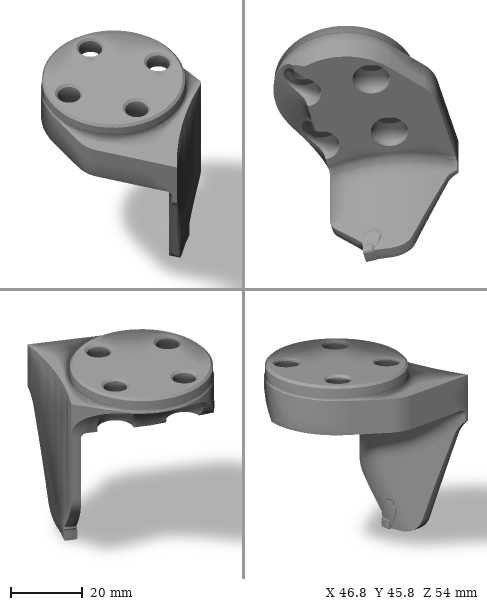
import cadquery as cq
import math

overall_height = 54.0
plate_top = -4.45
plate_bottom = -14.4
blade_bottom = -53.55

disc_radius = 40.0 / 2
disc_chamfer = 0.7
cove_radius = 0.8
hole_diameter = 6.5
hole_chamfer = 0.7
countersink_angle = 90
hole_spacing = 19.8
counterbore_diameter = 10.5
counterbore_z = -4.8

plate_radius = 20.3
front_y = -25.5
front_corner_x = 26.5
rear_corner = (22.6, 10.15)
outer_arc_middle = (22.15, 1.1)
front_left_fillet = 9.9
rear_corner_fillet = 1.2
tangent_angle = math.radians(232.3)

inner_arc_vertex = (18.75, -0.55)
inner_arc_radius = 50.2
inner_arc_half_length = 32.4
root_fillet = 1.7
blade_rear_y = 9.95
rear_cove_radius = 10.35
rear_cove_center_z = -14.95
blade_rear_corner = (blade_rear_y, -38.2)
blade_heel_corner = (-12.1, blade_bottom)
blade_tip_rear = (0.2, -49.5)
blade_tip_bottom = (-3.1, blade_bottom)
front_flare_start = (-22.85, -21.8)
front_flare_middle = (-24.0, -19.75)
front_flare_end_z = -18.05
blade_heel_radius = 7.0
blade_rear_radius = 7.55
bevel_plane_points = ((-19.1, 7.0, plate_bottom), (0.0, blade_rear_y, plate_bottom), (-17.3, 11.35, -9.7))

insert_outline = [
    (-1.6, -45.45), (-4.25, -45.45), (-4.15, -46.4), (-4.95, -47.2), (-4.9, -48.3), (-3.1, -53.75),
    (0.05, -overall_height), (0.05, -50.65), (0.4, -50.1), blade_tip_rear,
]
insert_face_top = (18.5, -45.45)
insert_face_bottom = (18.85, -overall_height)
rake_land_x = 18.4
land_base_x = 18.9
land_base = [(0.05, -50.6), (-2.9, -51.4), (-2.9, -overall_height), (0.05, -overall_height)]
land_crest = [(0.05, -51.2), (-2.85, -51.5), (-2.6, -53.7), (0.05, -53.8)]
relief_height = 0.4
relief_depth = 0.55

span = 64.8


def outline_prism():
    """Plate outline carried down through the full height of the blade."""
    start = (plate_radius * math.cos(tangent_angle), plate_radius * math.sin(tangent_angle))
    run = (start[1] - front_y) * math.tan(tangent_angle - math.pi)
    front_left = (start[0] + run, front_y)
    rear_distance = math.hypot(*rear_corner)
    rear_angle = math.atan2(rear_corner[1], rear_corner[0]) + math.acos(plate_radius / rear_distance)
    rear_tangent = (plate_radius * math.cos(rear_angle), plate_radius * math.sin(rear_angle))
    prism = (
        cq.Workplane("XY").workplane(offset=-overall_height)
        .moveTo(*start)
        .lineTo(*front_left)
        .lineTo(front_corner_x, front_y)
        .threePointArc(outer_arc_middle, rear_corner)
        .lineTo(*rear_tangent)
        .threePointArc((-plate_radius, 0), start)
        .close()
        .extrude(overall_height)
    )
    middle_z = -overall_height / 2
    for corner, radius in ((front_left, front_left_fillet), (rear_corner, rear_corner_fillet)):
        prism = prism.edges(cq.selectors.NearestToPointSelector((*corner, middle_z))).fillet(radius)
    return prism


def side_profile():
    """Y-Z profile of plate and blade, extruded along X."""
    cove_center_y = blade_rear_y + rear_cove_radius
    cove_top_z = rear_cove_center_z + rear_cove_radius
    diagonal = rear_cove_radius * math.sqrt(0.5)
    profile = (
        cq.Workplane("YZ").workplane(offset=-span / 2)
        .moveTo(front_y, plate_top)
        .lineTo(span / 2, plate_top)
        .lineTo(span / 2, cove_top_z)
        .lineTo(cove_center_y, cove_top_z)
        .threePointArc(
            (cove_center_y - diagonal, rear_cove_center_z + diagonal),
            (blade_rear_y, rear_cove_center_z),
        )
        .lineTo(*blade_rear_corner)
        .lineTo(*blade_tip_rear)
        .lineTo(*blade_tip_bottom)
        .lineTo(*blade_heel_corner)
        .lineTo(*front_flare_start)
        .threePointArc(front_flare_middle, (front_y, front_flare_end_z))
        .close()
        .extrude(span)
    )
    for corner, radius in ((blade_rear_corner, blade_rear_radius), (blade_heel_corner, blade_heel_radius)):
        profile = profile.edges(cq.selectors.NearestToPointSelector((0, *corner))).fillet(radius)
    return profile


def space_inside_blade():
    """Region below the plate on the concave-cut side of the blade."""
    center_x = inner_arc_vertex[0] + inner_arc_radius
    sag = inner_arc_radius - math.sqrt(inner_arc_radius**2 - inner_arc_half_length**2)
    end_x = center_x - inner_arc_radius + sag
    rear_y = inner_arc_vertex[1] + inner_arc_half_length
    low_y = inner_arc_vertex[1] - inner_arc_half_length
    return (
        cq.Workplane("XY").workplane(offset=plate_bottom)
        .moveTo(-span / 2, low_y)
        .lineTo(end_x, low_y)
        .threePointArc(inner_arc_vertex, (end_x, rear_y))
        .lineTo(-span / 2, rear_y)
        .close()
        .extrude(-span)
        .edges(cq.selectors.NearestToPointSelector((*inner_arc_vertex, plate_bottom)))
        .fillet(root_fillet)
    )


def rear_bevel():
    """Small sloping cut on the rear underside of the plate."""
    near, far, upper = (cq.Vector(*point) for point in bevel_plane_points)
    normal = (far - near).cross(upper - near)
    if normal.y < 0:
        normal = normal * -1
    cutter = cq.Workplane(cq.Plane(near, far - near, normal)).rect(span, span).extrude(span)
    zone_height = upper.z - plate_bottom
    zone = cq.Workplane("XY").box(span, span, zone_height, centered=(True, True, False))
    return cutter.intersect(zone.translate((-span / 2, 0, plate_bottom)))


def disc():
    """Mounting disc with a chamfered rim and a cove running out onto the plate."""
    cove_outer = disc_radius + cove_radius
    cove_offset = cove_radius * (1 - math.sqrt(0.5))
    return (
        cq.Workplane("XZ")
        .moveTo(0, 0)
        .lineTo(disc_radius - disc_chamfer, 0)
        .lineTo(disc_radius, -disc_chamfer)
        .lineTo(disc_radius, plate_top + cove_radius)
        .threePointArc((disc_radius + cove_offset, plate_top + cove_offset), (cove_outer, plate_top))
        .lineTo(0, plate_top)
        .close()
        .revolve(360, (0, 0, 0), (0, 1, 0))
    )


def drill_holes(body):
    """Screw holes, chamfered at the top and counterbored from below."""
    counterbores = (
        cq.Workplane("XY").workplane(offset=counterbore_z)
        .rect(hole_spacing, hole_spacing, forConstruction=True)
        .vertices()
        .circle(counterbore_diameter / 2)
        .extrude(plate_bottom - counterbore_z)
    )
    drilled = (
        body.faces(">Z").workplane(origin=(0, 0, 0))
        .rect(hole_spacing, hole_spacing, forConstruction=True)
        .vertices()
        .cskHole(hole_diameter, hole_diameter + 2 * hole_chamfer, countersink_angle, depth=span)
    )
    return drilled.cut(counterbores)


def insert_blank():
    return cq.Workplane("YZ").polyline(insert_outline).close().extrude(span)


def insert_relief():
    """Shallow notch in the blade above the insert."""
    left, right = insert_outline[0], insert_outline[1]
    return (
        cq.Workplane("YZ").moveTo(*left).lineTo(*right)
        .lineTo(right[0], right[1] + relief_height)
        .lineTo(left[0], left[1] + relief_height)
        .close()
        .extrude(inner_arc_vertex[0] + relief_depth)
    )


def make_holder(prism):
    holder = prism.cut(space_inside_blade()).intersect(side_profile()).cut(rear_bevel())
    holder = holder.union(disc().intersect(prism))
    holder = drill_holes(holder)
    return holder.cut(insert_blank()).cut(insert_relief())


def make_insert(prism):
    """Insert with a sloping face and a raised rake land at its tip."""
    front = (
        cq.Workplane("XZ").workplane(offset=-span / 2)
        .moveTo(*insert_face_top)
        .lineTo(*insert_face_bottom)
        .lineTo(span, insert_face_bottom[1])
        .lineTo(span, insert_face_top[1])
        .close()
        .extrude(span)
    )
    land = (
        cq.Workplane("YZ").workplane(offset=land_base_x)
        .polyline(land_base).close()
        .workplane(offset=rake_land_x - land_base_x)
        .polyline(land_crest).close()
        .loft(ruled=True)
    )
    return insert_blank().intersect(prism).intersect(front).union(land)


envelope = outline_prism()
holder = make_holder(envelope)
insert = make_insert(envelope)
result = cq.Compound.makeCompound([holder.val(), insert.val()])